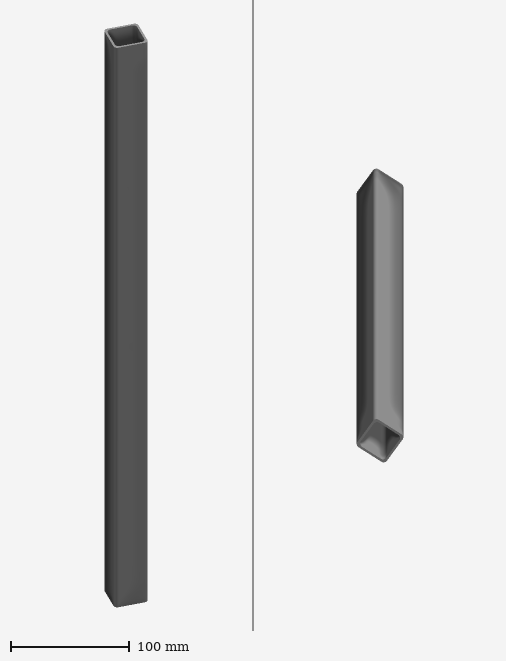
import cadquery as cq

length = 570.0
side = 30.0
wall = 2.0
corner_radius = 3.5


def rounded_square_bar(width):
    """Full-length square bar with its four long edges rounded."""
    return cq.Workplane("XY").rect(width, width).extrude(length).edges("|Z").fillet(corner_radius)


outer = rounded_square_bar(side)
bore = rounded_square_bar(side - 2 * wall)

result = outer.cut(bore)